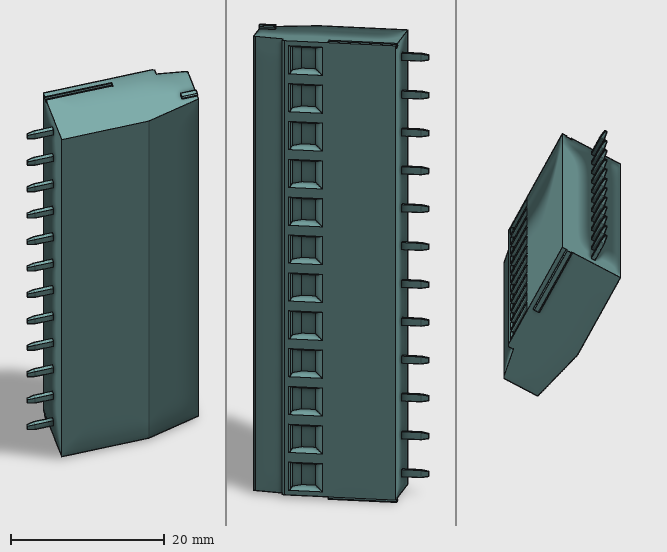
import cadquery as cq

POLES = 12
PITCH = 5.08
LENGTH = POLES * PITCH

DEPTH = 8.6
HEIGHT = 19.1
LEDGE_Y = 15.05
LEDGE_INNER_X = 0.88
LEDGE_CHAMFER_X = 0.15
LEDGE_CHAMFER_Y = 0.35
CREST_FRONT_X = 1.52
CREST_BACK_X = 6.65
CREST_CHAMFER_X = 0.15
CREST_CHAMFER_Y = 0.25
BACK_SLOPE_Y = 11.8

MOUTH_BOTTOM_Y = 9.7
MOUTH_TOP_Y = 14.2
MOUTH_WIDTH = 3.78
POCKET_DEPTH = 1.4
FLOOR_BOTTOM_Y = 10.85
FLOOR_TOP_Y = 12.7
FLOOR_WIDTH = 2.8
LIP_DEPTH = 0.23
LIP_Y = 13.95
SHOULDER_DEPTH = 0.95
SHOULDER_Y = 13.82
SHOULDER_BULGE = 0.05

PIN_X = 4.55
PIN_THICKNESS = 0.56
PIN_WIDTH = 0.95
PIN_LENGTH = 3.5
PIN_TIP_LENGTH = 0.95
PIN_TIP_THICKNESS = 0.3
PIN_TIP_WIDTH = 0.65

DOVETAIL_HEIGHT = 0.5
DOVETAIL_NARROW = 0.6
DOVETAIL_WIDEST = 0.95
DOVETAIL_WIDEST_HEIGHT = 0.35
LOWER_JOINT_X = 1.02
LOWER_JOINT_TOP_Y = 9.05
UPPER_JOINT_X = 5.8
UPPER_JOINT_BOTTOM_Y = 17.0


def make_housing():
    return (
        cq.Workplane("XY")
        .moveTo(0, 0)
        .lineTo(DEPTH, 0)
        .lineTo(DEPTH, BACK_SLOPE_Y)
        .lineTo(CREST_BACK_X, HEIGHT)
        .lineTo(CREST_FRONT_X + CREST_CHAMFER_X, HEIGHT)
        .lineTo(CREST_FRONT_X, HEIGHT - CREST_CHAMFER_Y)
        .lineTo(LEDGE_INNER_X, LEDGE_Y)
        .lineTo(LEDGE_CHAMFER_X, LEDGE_Y)
        .lineTo(0, LEDGE_Y - LEDGE_CHAMFER_Y)
        .close()
        .extrude(LENGTH)
    )


def make_wire_pocket():
    """Pocket centred on Z = 0: an XY profile with a rounded shoulder, limited by a wedge in XZ."""
    profile = (
        cq.Workplane("XY")
        .moveTo(0, MOUTH_BOTTOM_Y)
        .lineTo(POCKET_DEPTH, FLOOR_BOTTOM_Y)
        .lineTo(POCKET_DEPTH, FLOOR_TOP_Y)
        .lineTo(SHOULDER_DEPTH, SHOULDER_Y)
        .sagittaArc((LIP_DEPTH, LIP_Y), -SHOULDER_BULGE)
        .lineTo(0, MOUTH_TOP_Y)
        .close()
        .extrude(MOUTH_WIDTH / 2, both=True)
    )
    wedge = (
        cq.Workplane("XZ")
        .moveTo(0, -MOUTH_WIDTH / 2)
        .lineTo(POCKET_DEPTH, -FLOOR_WIDTH / 2)
        .lineTo(POCKET_DEPTH, FLOOR_WIDTH / 2)
        .lineTo(0, MOUTH_WIDTH / 2)
        .close()
        .extrude(-HEIGHT)
    )
    return profile.intersect(wedge)


def make_pin():
    """Straight pin with a tapered tip, centred on Z = 0 and rooted at Y = 0."""
    shank_length = PIN_LENGTH - PIN_TIP_LENGTH
    base = cq.Workplane("XZ").center(PIN_X, 0)
    shank = base.rect(PIN_THICKNESS, PIN_WIDTH).extrude(shank_length)
    tip = (
        shank.faces("<Y")
        .workplane(centerOption="CenterOfMass")
        .rect(PIN_THICKNESS, PIN_WIDTH)
        .workplane(offset=PIN_TIP_LENGTH)
        .rect(PIN_TIP_THICKNESS, PIN_TIP_WIDTH)
        .loft(combine=False)
    )
    return shank.union(tip)


def make_dovetail(center_x, bottom_y, top_y, neck_z, direction):
    """Bar along Y that bulges between neck_z and its head, towards +Z (1) or -Z (-1)."""
    widest_z = neck_z + direction * DOVETAIL_WIDEST_HEIGHT
    head_z = neck_z + direction * DOVETAIL_HEIGHT
    return (
        cq.Workplane("XZ", origin=(center_x, bottom_y, 0))
        .moveTo(-DOVETAIL_NARROW / 2, neck_z)
        .lineTo(DOVETAIL_NARROW / 2, neck_z)
        .lineTo(DOVETAIL_WIDEST / 2, widest_z)
        .lineTo(DOVETAIL_NARROW / 2, head_z)
        .lineTo(-DOVETAIL_NARROW / 2, head_z)
        .lineTo(-DOVETAIL_WIDEST / 2, widest_z)
        .close()
        .extrude(bottom_y - top_y)
    )


result = make_housing()

wire_pocket = make_wire_pocket()
pin = make_pin()
for pole in range(POLES):
    pole_center = (0, 0, (pole + 0.5) * PITCH)
    result = result.cut(wire_pocket.translate(pole_center))
    result = result.union(pin.translate(pole_center))

result = result.union(make_dovetail(LOWER_JOINT_X, 0, LOWER_JOINT_TOP_Y, 0, -1))
result = result.cut(make_dovetail(LOWER_JOINT_X, 0, LOWER_JOINT_TOP_Y, LENGTH, -1))

result = result.union(make_dovetail(UPPER_JOINT_X, UPPER_JOINT_BOTTOM_Y, HEIGHT, LENGTH, 1))